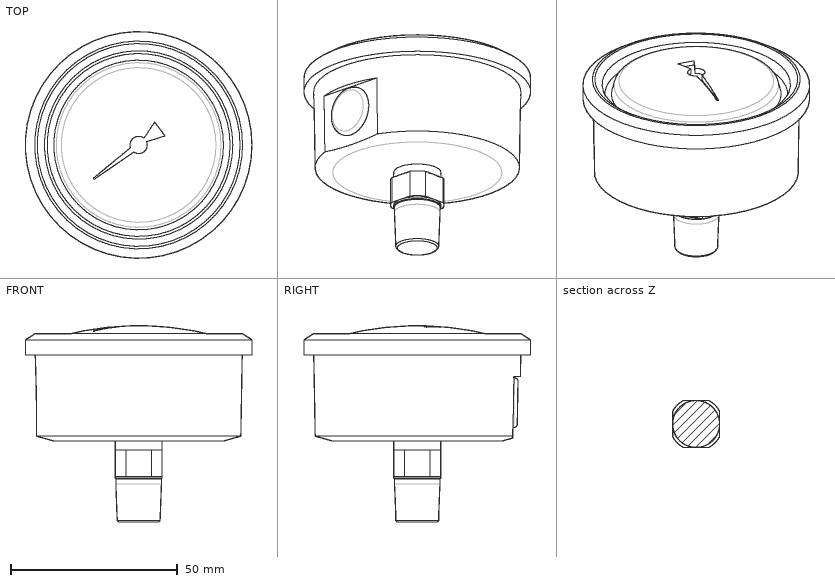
import cadquery as cq
import math


tip_chamfer_z = 0.55
thread_top_z = 11.4
collar_bottom_z = 13.0
wrench_bottom_z = 13.75
wrench_top_z = 21.7
case_bottom_z = 24.3
case_edge_z = 25.8
bezel_bottom_z = 50.1
window_ledge_z = 51.55
dome_rim_bottom_z = 54.5
bezel_edge_z = 54.7
bezel_lip_z = 54.8
dome_edge_z = 55.9
bezel_top_z = 56.5
hub_rim_z = 58.9

tip_radius = 6.0
thread_end_radius = 6.45
thread_top_radius = 6.9
stem_radius = 7.1
collar_chamfer = 0.2
wrench_half_flats = stem_radius
wrench_flat_half_width = 3.8
wrench_corner_radius = math.hypot(wrench_half_flats, wrench_flat_half_width)

case_bottom_radius = 25.35
case_edge_radius = 30.7
case_top_radius = 31.1
bezel_radius = 34.0
bezel_top_radius = 31.15
bezel_mouth_radius = 30.4
bezel_lip_radius = 28.2

ledge_radius = 27.4
dome_base_radius = 25.4
dome_rim_radius = 24.7
dome_edge_radius = 23.2

pointer_angle = 37.0
pointer_floor_z = 57.2
hub_radius = 2.6
needle_length = 16.85
needle_root_half_width = 0.8
needle_tip_half_width = 0.2
tail_length = 7.95
tail_root_half_width = 0.7
tail_end_half_width = 2.6
cutter_overshoot = 1.35

dome_center_z = (hub_radius**2 + hub_rim_z**2 - dome_edge_radius**2 - dome_edge_z**2) / (
    2 * (hub_rim_z - dome_edge_z)
)
dome_sphere_radius = math.hypot(dome_edge_radius, dome_edge_z - dome_center_z)
dome_top_z = dome_center_z + dome_sphere_radius

case_draft = math.degrees(
    math.atan((case_top_radius - case_edge_radius) / (bezel_bottom_z - case_edge_z))
)
flat_top_z = 43.65
plug_z = 35.85
flat_y = 28.8
plug_radius = 7.5
plug_height = 1.3
plug_fillet = 1.1


def make_body():
    """Stem, case, bezel and domed window as one revolved profile."""
    dome_mid_radius = dome_edge_radius / 2
    dome_mid_z = dome_center_z + math.sqrt(dome_sphere_radius**2 - dome_mid_radius**2)
    return (
        cq.Workplane("XZ")
        .lineTo(tip_radius, 0)
        .lineTo(thread_end_radius, tip_chamfer_z)
        .lineTo(thread_top_radius, thread_top_z)
        .lineTo(thread_top_radius, collar_bottom_z)
        .lineTo(stem_radius, collar_bottom_z + collar_chamfer)
        .lineTo(stem_radius, case_bottom_z)
        .lineTo(case_bottom_radius, case_bottom_z)
        .lineTo(case_edge_radius, case_edge_z)
        .lineTo(case_top_radius, bezel_bottom_z)
        .lineTo(bezel_radius, bezel_bottom_z)
        .lineTo(bezel_radius, bezel_edge_z)
        .lineTo(bezel_top_radius, bezel_top_z)
        .lineTo(bezel_mouth_radius, bezel_top_z)
        .lineTo(bezel_lip_radius, bezel_lip_z)
        .lineTo(ledge_radius, window_ledge_z)
        .lineTo(dome_base_radius, window_ledge_z)
        .lineTo(dome_rim_radius, dome_rim_bottom_z)
        .tangentArcPoint((dome_edge_radius, dome_edge_z), relative=False)
        .threePointArc((dome_mid_radius, dome_mid_z), (0, dome_top_z))
        .close()
        .revolve(360, (0, 0), (0, 1))
    )


def make_wrench_square():
    """Square wrench section with its corners rounded by a larger cylinder."""
    height = wrench_top_z - wrench_bottom_z
    section = cq.Workplane("XY").workplane(offset=wrench_bottom_z)
    square = section.rect(2 * wrench_half_flats, 2 * wrench_half_flats).extrude(height)
    return square.intersect(section.circle(wrench_corner_radius).extrude(height))


def make_pointer():
    """Pointer-shaped cutter, from the recess floor up past the dome."""
    height = dome_top_z + cutter_overshoot - pointer_floor_z
    floor = cq.Workplane("XY").workplane(offset=pointer_floor_z)
    needle_and_tail = [
        (-needle_length, -needle_tip_half_width),
        (-hub_radius, -needle_root_half_width),
        (hub_radius, -tail_root_half_width),
        (tail_length, -tail_end_half_width),
        (tail_length, tail_end_half_width),
        (hub_radius, tail_root_half_width),
        (-hub_radius, needle_root_half_width),
        (-needle_length, needle_tip_half_width),
    ]
    pointer = floor.polyline(needle_and_tail).close().extrude(height)
    pointer = pointer.union(floor.circle(hub_radius).extrude(height))
    return pointer.rotate((0, 0, 0), (0, 0, 1), pointer_angle)


def tilt_to_case_wall(shape):
    """Tilt a shape about the flat's centre so that it leans with the +Y case wall."""
    return shape.rotate((0, flat_y, plug_z), (1, flat_y, plug_z), -case_draft)


def make_flat():
    """Cutter for the flat, running from its upper shoulder down to the case bottom."""
    height = flat_top_z - case_bottom_z
    cutter = cq.Workplane("XY").box(2 * bezel_radius, bezel_radius, height, centered=(True, False, False))
    return tilt_to_case_wall(cutter.translate((0, flat_y, case_bottom_z)))


def make_plug():
    """Round plug with a softened rim, rooted inside the case wall."""
    root_depth = plug_height
    plug = (
        cq.Workplane("XZ", origin=(0, flat_y - root_depth, plug_z))
        .circle(plug_radius)
        .extrude(-(root_depth + plug_height))
        .faces(">Y")
        .edges()
        .fillet(plug_fillet)
    )
    return tilt_to_case_wall(plug)


result = (
    make_body()
    .union(make_wrench_square())
    .cut(make_pointer())
    .cut(make_flat())
    .union(make_plug())
)